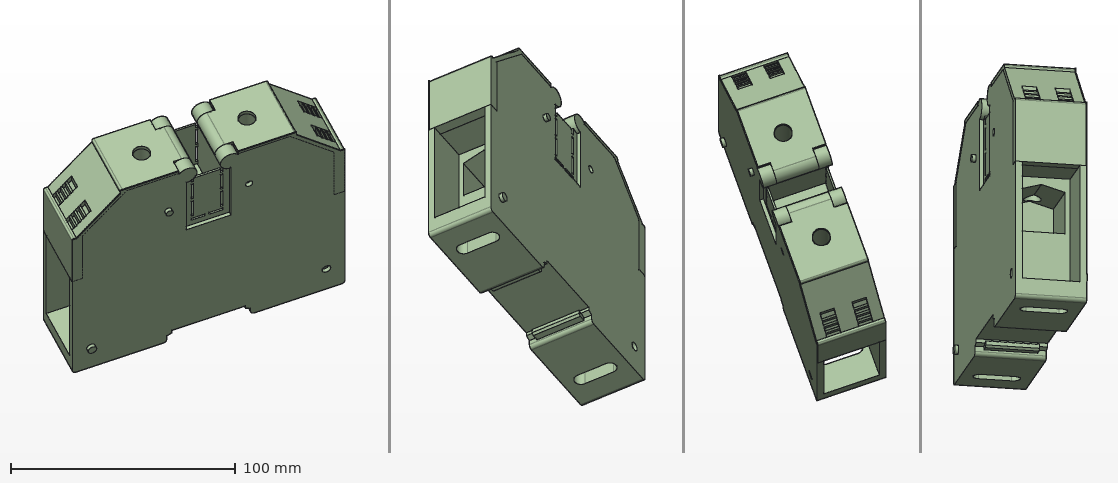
import cadquery as cq

overall_width = 36.0
body_width = 32.5
half_width = body_width / 2
half_length = 66.0
height = 116.5
side_wall = 0.5
cover_x_max = half_width - side_wall
corner_radius = 1.8

top_thickness = 1.9
housing_top = height - top_thickness
slope_start = 42.6
slope_sum = slope_start + housing_top
lip_height = 93.3
slope_end = slope_sum - lip_height
inner_slope_sum = 154.2
cover_wall_y = inner_slope_sum - lip_height
cover_bottom = 63.6
edge_radius = 0.95

barrel_radius = 4.75
barrel_y = 10.4
barrel_z = height - barrel_radius
hinge_half_width = 10.0
ear_notch_y = 14.4

screw_y = 25.5
screw_hole_diameter = 8.0

slot_width = 6.6
slot_x = 7.55
slot_y_inner = 54.7
rib_thickness = 0.8
rib_pitch = 2.3
rib_count = 3
first_rib_y = 56.9
rib_drop = 0.3

channel_half_length = 7.67
channel_floor = 77.2
recess_half_length = 10.8
recess_bottom = 74.0
recess_depth = 1.8
panel_thickness = 0.9
panel_top = 106.1
slit_width = 1.15
bridge_length = 1.9
bridge_heights = (102.9, 91.1, 79.1)

pocket_half_width = 13.1
pocket_floor = 9.2
pocket_depth = 21.0
wire_half_width = 10.8
wire_bottom = 38.0
wire_shoulder = 57.3
wire_peak = 60.3
wire_end_y = 20.0
floor_slot_length = 21.4
floor_slot_width = 6.4
floor_slot_y = 50.2

notch_half_length = 20.3
notch_top = 6.9
ledge_y = 17.8
ledge_low_z = 4.2
ledge_high_z = 5.2
hook_bottom = 2.8
hook_tip_y = 16.1
hook_tip_top = 5.7
hook_tip_thickness = 0.9
hook_chamfer = 1.0
hook_inset = 4.0
hook_half_width = half_width - hook_inset

peg_length = (overall_width - body_width) / 2
socket_depth = 2.0
peg_places = ((19.6, 91.6, 3.4), (57.0, 14.0, 4.15))


def box(x, y, z):
    """Box between pairs of limits along X, Y and Z."""
    size = (x[1] - x[0], y[1] - y[0], z[1] - z[0])
    return cq.Workplane("XY").box(*size, centered=False).translate((x[0], y[0], z[0]))


def extrude_x(outline, x_min, x_max):
    """Prism along X from a list of (Y, Z) points."""
    profile = cq.Workplane("YZ").workplane(offset=x_min).polyline(outline).close()
    return profile.extrude(x_max - x_min)


def cylinder_x(y, z, diameter, x_min, x_max):
    """Cylinder along X."""
    return cq.Workplane("YZ").workplane(offset=x_min).center(y, z).circle(diameter / 2).extrude(x_max - x_min)


def both_ends(shape):
    """The shape together with its mirror image in the XZ plane."""
    return shape.union(shape.mirror("XZ"))


def make_cover_blank():
    """Bent cover on the +Y end without its slots, hinge tongue or screw hole."""
    outline = [
        (ear_notch_y, height),
        (slope_start, height),
        (slope_start, housing_top),
        (slope_end, lip_height),
        (half_length, lip_height),
        (half_length, cover_bottom),
        (cover_wall_y, cover_bottom),
        (cover_wall_y, lip_height),
        (inner_slope_sum - housing_top, housing_top),
        (ear_notch_y, housing_top),
    ]
    return extrude_x(outline, -half_width, cover_x_max)


def make_hinge_tongue():
    """Middle of the cover's inner edge, ending in a quarter of the hinge barrel."""
    barrel = cylinder_x(barrel_y, barrel_z, 2 * barrel_radius, -hinge_half_width, hinge_half_width)
    width = (-hinge_half_width, hinge_half_width)
    quarter = box(width, (barrel_y - barrel_radius, barrel_y), (barrel_z, height))
    strip = box(width, (barrel_y, ear_notch_y), (housing_top, height))
    return barrel.intersect(quarter).union(strip)


def make_slot_ribs(x_min, x_max):
    """Upright ribs that cross one slot."""
    ribs = cq.Workplane()
    for index in range(rib_count):
        y_min = first_rib_y + index * rib_pitch
        y_max = y_min + rib_thickness
        outline = [
            (y_min, inner_slope_sum - y_min),
            (y_max, inner_slope_sum - y_max),
            (y_max, slope_sum - rib_drop - y_max),
            (y_min, slope_sum - rib_drop - y_min),
        ]
        ribs = ribs.add(extrude_x(outline, x_min, x_max))
    return ribs.combine()


def make_cover():
    """Cover on the +Y end."""
    cover = make_cover_blank()
    for y, z in ((slope_start, height), (half_length, lip_height)):
        cover = cover.edges(cq.selectors.NearestToPointSelector((0, y, z))).fillet(edge_radius)
    cover = cover.union(make_hinge_tongue())
    screw_hole = cq.Workplane("XY").center(0, screw_y).circle(screw_hole_diameter / 2).extrude(height)
    cover = cover.cut(screw_hole)
    slot_y = (slot_y_inner, slope_end)
    for centre in (-slot_x, slot_x):
        x_min = centre - slot_width / 2
        x_max = centre + slot_width / 2
        opening = extrude_x(
            [
                (slot_y[0], inner_slope_sum - slot_y[0]),
                (slot_y[1], inner_slope_sum - slot_y[1]),
                (slot_y[1], lip_height),
                (slot_y[0], slope_sum - slot_y[0]),
            ],
            x_min,
            x_max,
        )
        cover = cover.cut(opening.cut(make_slot_ribs(x_min, x_max)))
    return cover


def make_housing_blank():
    """Housing block with its rail notch, before the covers' space is removed."""
    half = [
        (half_length, 0),
        (half_length, lip_height),
        (slope_end, lip_height),
        (slope_start, housing_top),
        (slope_start, height),
        (barrel_y, height),
        (barrel_y, barrel_z),
        (channel_half_length, barrel_z),
        (channel_half_length, notch_top),
        (ledge_y, notch_top),
        (ledge_y, ledge_high_z),
        (notch_half_length, ledge_low_z),
        (notch_half_length, 0),
    ]
    side = extrude_x(half, -half_width, half_width)
    for y in (notch_half_length, half_length):
        side = side.edges(cq.selectors.NearestToPointSelector((0, y, 0))).fillet(corner_radius)
    barrel = cylinder_x(barrel_y, barrel_z, 2 * barrel_radius, -half_width, half_width)
    middle = box(
        (-half_width, half_width),
        (-channel_half_length, channel_half_length),
        (notch_top, channel_floor),
    )
    return both_ends(side.union(barrel)).union(middle)


def make_cover_space():
    """Space above and around the +Y shoulder of the housing that the cover and its hinge occupy."""
    blank = make_cover_blank()
    barrel_ears = cylinder_x(barrel_y, barrel_z, 2 * barrel_radius, -half_width, half_width)
    ear_clearance = box((-half_width, half_width), (barrel_y, ear_notch_y), (housing_top, height))
    return blank.union(ear_clearance.cut(barrel_ears)).union(make_hinge_tongue())


def make_end_pocket():
    """Wire pocket of the +Y end with its floor slot, wire tunnel and screw hole."""
    pocket_back = half_length - pocket_depth
    pocket = box(
        (-pocket_half_width, pocket_half_width),
        (pocket_back, half_length),
        (pocket_floor, cover_bottom),
    )
    floor_slot = (
        cq.Workplane("XY")
        .center(0, floor_slot_y)
        .slot2D(floor_slot_length, floor_slot_width)
        .extrude(pocket_floor)
    )
    tunnel = (
        cq.Workplane("XZ", origin=(0, pocket_back, 0))
        .moveTo(-wire_half_width, wire_bottom)
        .lineTo(wire_half_width, wire_bottom)
        .lineTo(wire_half_width, wire_shoulder)
        .lineTo(0, wire_peak)
        .lineTo(-wire_half_width, wire_shoulder)
        .close()
        .extrude(pocket_back - wire_end_y)
    )
    screw_hole = (
        cq.Workplane("XY", origin=(0, screw_y, wire_shoulder))
        .circle(screw_hole_diameter / 2)
        .extrude(height - wire_shoulder)
    )
    return pocket.union(floor_slot).union(tunnel).union(screw_hole)


def make_side_panel():
    """Slitted panel that closes the channel on the -X side, set back in its recess."""
    outer_x = -half_width + recess_depth
    span = (outer_x, outer_x + panel_thickness)
    panel_half_length = channel_half_length - slit_width
    panel = box(span, (-channel_half_length, channel_half_length), (channel_floor, panel_top))
    for side in (-1, 1):
        y_limits = sorted((side * panel_half_length, side * channel_half_length))
        panel = panel.cut(box(span, y_limits, (channel_floor, panel_top)))
        for z in bridge_heights:
            panel = panel.union(box(span, y_limits, (z - bridge_length / 2, z + bridge_length / 2)))
        y_limits = sorted((side * bridge_length / 2, side * channel_half_length))
        panel = panel.cut(box(span, y_limits, (channel_floor, channel_floor + slit_width)))
    return panel


def make_housing():
    """Housing with its channel, pockets, pegs and sockets."""
    housing = make_housing_blank()
    housing = housing.cut(both_ends(make_cover_space()))
    housing = housing.cut(both_ends(make_end_pocket()))

    barrel = cylinder_x(barrel_y, barrel_z, 2 * barrel_radius, -half_width, half_width)
    recess = box(
        (-half_width, -half_width + recess_depth),
        (-recess_half_length, recess_half_length),
        (recess_bottom, barrel_z),
    ).cut(both_ends(barrel))
    panel = make_side_panel()
    housing = housing.cut(recess).cut(recess.mirror("YZ"))
    housing = housing.union(panel).union(panel.mirror("YZ"))

    for y, z, diameter in peg_places:
        for side in (-1, 1):
            peg_span = sorted((side * half_width, side * (half_width + peg_length)))
            socket_span = sorted((side * half_width, side * (half_width - socket_depth)))
            housing = housing.union(cylinder_x(-side * y, z, diameter, *peg_span))
            housing = housing.cut(cylinder_x(side * y, z, diameter, *socket_span))
    return housing


def make_rail_hook():
    """Hook under the ledge of the rail notch on the +Y side."""
    outline = [
        (notch_half_length, hook_bottom),
        (hook_tip_y + hook_chamfer, hook_bottom),
        (hook_tip_y, hook_bottom + hook_chamfer),
        (hook_tip_y, hook_tip_top),
        (hook_tip_y + hook_tip_thickness, hook_tip_top),
        (hook_tip_y + hook_tip_thickness, ledge_high_z),
        (ledge_y, ledge_high_z),
        (notch_half_length, ledge_low_z),
    ]
    return extrude_x(outline, -hook_half_width, hook_half_width)


housing = make_housing()
rear_cover = make_cover()
rear_hook = make_rail_hook()
front_cover = rear_cover.mirror("XZ")
front_hook = rear_hook.mirror("XZ")

result = cq.Compound.makeCompound(
    [
        *housing.solids().vals(),
        *rear_cover.solids().vals(),
        *front_cover.solids().vals(),
        *rear_hook.solids().vals(),
        *front_hook.solids().vals(),
    ]
)